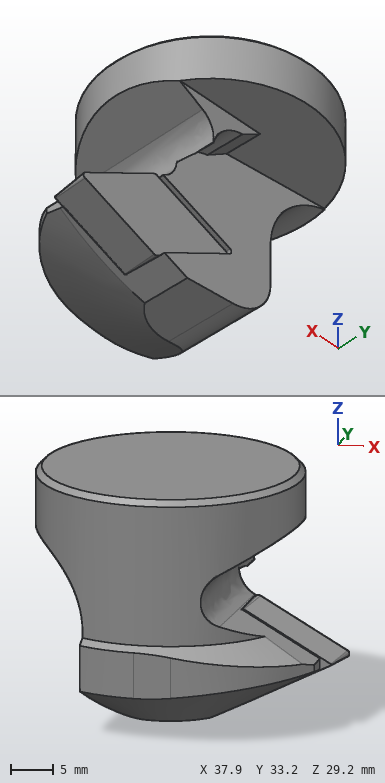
import cadquery as cq
import math

head_diameter = 32.0
head_radius = head_diameter / 2
head_chamfer = 0.72
head_underside_z = -7.0
bottom_z = -29.2
reach = 75.8

flank_angle = 27.5
flank_slope = math.tan(math.radians(flank_angle))
flank_sin = math.sin(math.radians(flank_angle))
flank_cos = math.cos(math.radians(flank_angle))

collar_top_z = -17.8
collar_radius = 17.15
collar_shift = 4.55
collar_end_x = 19.7
lower_edge_z = -24.03
bottom_radius = 7.9
cone_limit_radius = 22.0

relief_x = -6.97
relief_radius = 10.0
relief_tangent_z = -17.05
heel_radius = 6.0

rake_angle = 5.0
rake_y = 2.58

gullet_radius = 3.55
gullet_x = 10.9
gullet_z = -12.6
gullet_skew_x = 0.7
gullet_skew_z = gullet_skew_x * flank_slope
gullet_front_y = -17.05
gullet_back_y = 8.05

web_left_x = 0.0
web_step_x = 3.05
web_step_z = -8.83
web_tip_x = 8.05
web_tip_z = -13.05
web_arc_x = 6.25
web_arc_z = -10.25

lower_flank_x = 6.18

insert_face_y = 1.85
insert_thickness = 5.45
insert_z = -21.5
insert_point = 22.5
insert_half_height = 6.2
insert_relief = 3.4
insert_corner = 0.45
pocket_opening_height = 1.15


def turned_plane(y):
    """Plane parallel to the rake face that crosses the YZ plane at y."""
    turn = math.radians(rake_angle)
    return cq.Plane(
        origin=(0, y, 0),
        xDir=(math.cos(turn), -math.sin(turn), 0),
        normal=(-math.sin(turn), -math.cos(turn), 0),
    )


def make_head():
    head = cq.Workplane("XY").circle(head_radius).extrude(collar_top_z)
    return head.faces(">Z").chamfer(head_chamfer)


def make_collar():
    tip_drop = (cone_limit_radius - head_radius) * flank_slope
    lower_slope = (lower_edge_z - bottom_z) / (collar_radius - bottom_radius)
    lower_tip_z = lower_edge_z + (cone_limit_radius - collar_radius) * lower_slope
    cones = (
        cq.Workplane("XZ")
        .moveTo(0, collar_top_z)
        .lineTo(head_radius, collar_top_z)
        .lineTo(cone_limit_radius, collar_top_z - tip_drop)
        .lineTo(cone_limit_radius, lower_tip_z)
        .lineTo(bottom_radius, bottom_z)
        .lineTo(0, bottom_z)
        .close()
        .revolve(360, (0, 0), (0, 1))
    )
    outline = (
        cq.Workplane("XY")
        .moveTo(0, collar_radius)
        .threePointArc((-collar_radius, 0), (0, -collar_radius))
        .lineTo(collar_shift, -collar_radius)
        .threePointArc((collar_shift + collar_radius, 0), (collar_shift, collar_radius))
        .close()
        .extrude(bottom_z)
    )
    end_trim = cq.Workplane("XY").box(reach, reach, reach).translate((collar_end_x + reach / 2, 0, 0))
    return cones.intersect(outline).cut(end_trim)


def make_relief_cut():
    """Scooped relief and rounded heel along the -X side."""
    heel_arc = heel_radius * (1 - math.sqrt(0.5))
    scoop_arc = relief_radius * math.sqrt(0.5)
    scoop_x = relief_x - relief_radius
    return (
        cq.Workplane("XZ")
        .moveTo(scoop_x, relief_tangent_z + relief_radius)
        .threePointArc((scoop_x + scoop_arc, relief_tangent_z + scoop_arc), (relief_x, relief_tangent_z))
        .lineTo(relief_x, bottom_z + heel_radius)
        .threePointArc((relief_x + heel_arc, bottom_z + heel_arc), (relief_x + heel_radius, bottom_z))
        .lineTo(relief_x + heel_radius, -reach)
        .lineTo(-reach, -reach)
        .lineTo(-reach, relief_tangent_z + relief_radius)
        .close()
        .extrude(reach, both=True)
    )


def make_web():
    """Web profile that the rake cut leaves under the head."""
    return (
        cq.Workplane("XZ")
        .moveTo(web_left_x, head_underside_z)
        .lineTo(web_step_x, web_step_z)
        .threePointArc((web_arc_x, web_arc_z), (web_tip_x, web_tip_z))
        .lineTo(head_radius, web_tip_z)
        .lineTo(head_radius, head_underside_z)
        .close()
        .extrude(-gullet_back_y)
    )


def make_rake_cut():
    behind_face = (
        cq.Workplane(turned_plane(rake_y))
        .rect(2 * reach, 2 * reach)
        .extrude(-reach)
    )
    below_head = cq.Workplane("XY").workplane(offset=head_underside_z).rect(reach, reach).extrude(-reach)
    return behind_face.intersect(below_head).cut(make_web())


def make_gullet_cut():
    """Round root with two flanks opening toward +X, its run parallel to the upper flank."""
    root_x = gullet_x - gullet_radius * flank_sin
    half_root = gullet_radius * flank_cos
    mouth_half = half_root + (reach - root_x) * flank_slope
    outline = (
        cq.Workplane("XZ", origin=(0, gullet_front_y, 0))
        .moveTo(reach, gullet_z + mouth_half)
        .lineTo(root_x, gullet_z + half_root)
        .threePointArc((gullet_x - gullet_radius, gullet_z), (root_x, gullet_z - half_root))
        .lineTo(reach, gullet_z - mouth_half)
        .close()
        .wire()
        .val()
    )
    run = cq.Vector(gullet_skew_x, gullet_back_y - gullet_front_y, gullet_skew_z)
    return cq.Workplane(cq.Solid.extrudeLinear(outline, [], run))


def make_lower_flank_cut():
    return (
        cq.Workplane("XZ")
        .moveTo(lower_flank_x, bottom_z)
        .lineTo(reach, bottom_z + (reach - lower_flank_x) * flank_slope)
        .lineTo(reach, bottom_z)
        .close()
        .extrude(reach, both=True)
    )


def insert_outline():
    """Rhombus with rounded corners on the insert face."""
    half_length = insert_half_height / flank_slope
    center_x = insert_point - half_length
    core_length = half_length - insert_corner / flank_sin
    core_height = insert_half_height - insert_corner / flank_cos
    return (
        cq.Workplane(turned_plane(insert_face_y))
        .polyline([
            (center_x + core_length, insert_z),
            (center_x, insert_z + core_height),
            (center_x - core_length, insert_z),
            (center_x, insert_z - core_height),
        ])
        .close()
        .offset2D(insert_corner)
    )


def make_insert():
    return insert_outline().extrude(insert_thickness, taper=insert_relief)


def make_holder(insert):
    holder = make_head().union(make_collar())
    holder = holder.cut(make_relief_cut()).cut(make_rake_cut())
    holder = holder.cut(make_gullet_cut()).cut(make_lower_flank_cut())
    pocket_opening = insert_outline().extrude(-pocket_opening_height)
    return holder.cut(insert).cut(pocket_opening)


insert = make_insert()
holder = make_holder(insert)
result = cq.Compound.makeCompound([holder.val(), insert.val()])